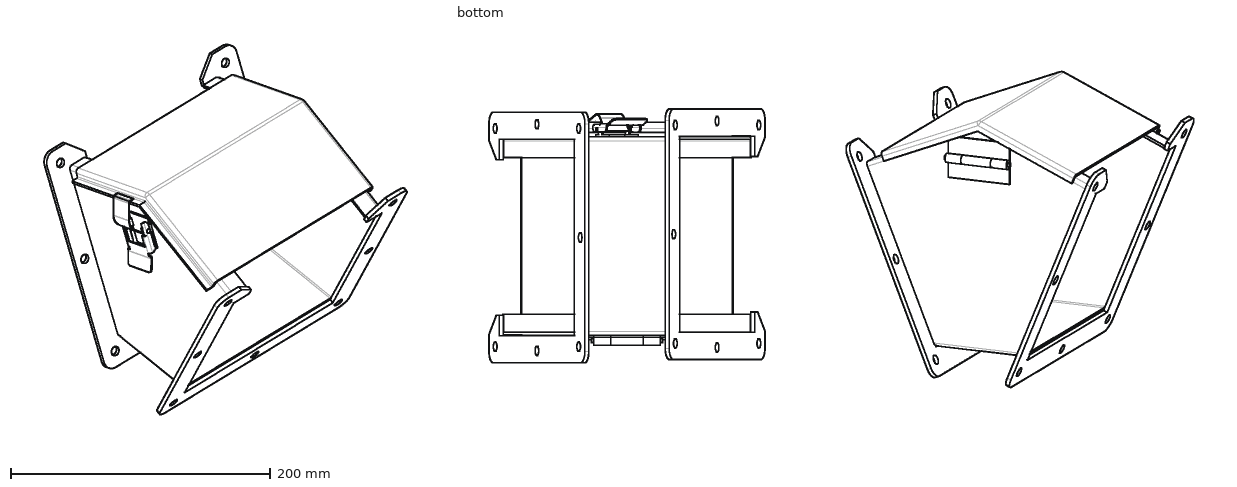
import cadquery as cq
import math

TILT = 22.5
SIN = math.sin(math.radians(TILT))
COS = math.cos(math.radians(TILT))

SHEET = 2.0
BEND = 1.0

FLANGE_REACH = 106.5
FLANGE_BASE_Z = -103.0
FLANGE_SIZE = 193.3
FLANGE_THICK = 3.5
FLANGE_SHIFT = 1.3
FLANGE_CORNER = 9.0
FRAME_WIDTH = 21.0
TAB_INNER = 59.8
TAB_CHAMFER = 15.0
BOLT_DIAMETER = 7.2
CORNER_BOLT_INSET = 12.5
MIDDLE_BOLT_INSET = 9.4

HOUSING_HALF_WIDTH = 76.5
HOUSING_BASE_Z = -81.7
HOUSING_RIDGE_Z = 98.8
ACCESS_HALF_WIDTH = 60.2

LID_TOP_Z = 103.2
LID_RIDGE_RADIUS = 4.0
LID_RIDGE_Z = LID_TOP_Z + LID_RIDGE_RADIUS * (1 / COS - 1)
LID_LENGTH = 88.8
LID_BACK_Y = 80.0
LID_FRONT_Y = -82.0
LIP_Y = -87.7
LIP_DEPTH = 9.2
BACK_SKIRT_DEPTH = 7.5

HINGE_WIDTH = 51.5
MIDDLE_KNUCKLE_WIDTH = 25.0
KNUCKLE_DIAMETER = 7.2
HINGE_PIN_DIAMETER = 3.2
HINGE_PIN_LENGTH = 55.0
HINGE_Y = 80.7
HINGE_Z = 71.7
LEAF_TOP_Z = 88.3
LEAF_BOTTOM_Z = 55.3

LATCH_SLOPE = 25.1
LATCH_WIDTH = 29.2
LATCH_SHEET = 1.0
STRAP_SHEET = 0.6
STRAP_WIDTH = 20.0
STRAP_ROOT_Y = -83.9
STRAP_LIP_Y = -88.5
STRAP_APEX = (-95.4, 26.6)
STRAP_END = (-81.1, 40.9)
STRAP_APEX_RADIUS = 8.7
STRAP_LIP_RADIUS = 1.7
STRAP_LIP_GAP = 0.2
LEVER_Y = -86.5
LEVER_TOP_DEPTH = 27.0
EAR_END_DEPTH = 53.9
TIP_START_DEPTH = 57.5
TIP_END = (-90.5, 68.5)
TIP_CORNER = 3.2
LEVER_BEND = 1.0
WINDOW_WIDTH = 20.9
WINDOW_END_DEPTH = 48.3
LEVER_LIFT = 3.6
EAR_ROUND = 3.5
EAR_BEND = 1.5
NECK_END_DEPTH = 56.0
PIVOT_DIAMETER = 3.5
PIVOT_LENGTH = 29.8
OPEN_TOP_DEPTH = 38.3
PIVOT_DEPTH = 35.3
PIVOT_Y = -81.7
BASE_SHEET = 1.5
BASE_EAR_DEPTH = 6.4

THROUGH = 425.8


def slope_plane(distance):
    """Plane across the left roof slope: local x is Y, local y is depth below the lid face."""
    origin = (-distance * COS, 0, LID_RIDGE_Z - distance * SIN)
    return cq.Plane(origin=origin, xDir=(0, 1, 0), normal=(-COS, 0, -SIN))


def unit(start, end):
    """Unit direction between two points."""
    length = math.dist(start, end)
    return ((end[0] - start[0]) / length, (end[1] - start[1]) / length)


def bent_sheet(path, thickness, radii, width):
    """Sheet folded along a path, lying to the left of it; radii are the inside bend radii."""
    directions = [unit(a, b) for a, b in zip(path, path[1:])]
    before = [directions[0]] + directions
    after = directions + [directions[-1]]
    offset_path = []
    turns = []
    for point, d0, d1 in zip(path, before, after):
        miter = thickness / (1 + d0[0] * d1[0] + d0[1] * d1[1])
        offset_x = point[0] - miter * (d0[1] + d1[1])
        offset_y = point[1] + miter * (d0[0] + d1[0])
        offset_path.append((offset_x, offset_y))
        turns.append(d0[0] * d1[1] - d0[1] * d1[0])
    outline = cq.Workplane().polyline(path + offset_path[::-1]).close()
    sheet = outline.extrude(width / 2, both=True)
    for index, radius in enumerate(radii, start=1):
        left_is_inside = turns[index] > 0
        inside = offset_path[index] if left_is_inside else path[index]
        outside = path[index] if left_is_inside else offset_path[index]
        for corner, corner_radius in ((inside, radius), (outside, radius + thickness)):
            edge = cq.selectors.NearestToPointSelector((*corner, 0))
            sheet = sheet.edges(edge).fillet(corner_radius)
    return sheet


def on_slope(body, distance):
    """Move a body from (Y, depth, slope) coordinates onto the left roof slope."""
    return cq.Workplane(body.val().moved(cq.Location(slope_plane(distance))))


def slope_box(y_range, depth_range, slope_range):
    """Box in (Y, depth, slope) coordinates, with slope measured from the middle of the latch."""
    ranges = (y_range, depth_range, slope_range)
    sizes = [end - start for start, end in ranges]
    corner = tuple(start for start, end in ranges)
    return cq.Workplane().box(*sizes, centered=False).translate(corner)


def make_flange():
    base_x = FLANGE_REACH - FLANGE_SIZE * SIN
    half = FLANGE_SIZE / 2
    opening_half = half - FRAME_WIDTH
    opening_top = FLANGE_SIZE - FRAME_WIDTH
    plane = cq.Plane(
        origin=(-base_x, FLANGE_SHIFT, FLANGE_BASE_Z), xDir=(0, 1, 0), normal=(COS, 0, SIN)
    )
    flange = (
        cq.Workplane()
        .rect(FLANGE_SIZE, FLANGE_SIZE)
        .extrude(FLANGE_THICK)
        .edges("|Z")
        .fillet(FLANGE_CORNER)
        .translate((0, half, 0))
    )
    right_edge = [
        (opening_half, FRAME_WIDTH),
        (opening_half, opening_top),
        (TAB_INNER, opening_top),
        (TAB_INNER, FLANGE_SIZE - TAB_CHAMFER),
        (TAB_INNER + TAB_CHAMFER, FLANGE_SIZE),
    ]
    left_edge = [(-x, y) for x, y in reversed(right_edge)]
    opening = cq.Workplane().polyline(right_edge + left_edge).close().extrude(FLANGE_THICK)
    flange = flange.cut(opening)
    corner = half - CORNER_BOLT_INSET
    side = half - MIDDLE_BOLT_INSET
    bolts = [(0, MIDDLE_BOLT_INSET)]
    for sign in (-1, 1):
        bolts += [
            (sign * corner, CORNER_BOLT_INSET),
            (sign * corner, FLANGE_SIZE - CORNER_BOLT_INSET),
            (sign * side, half),
        ]
    holes = cq.Workplane().pushPoints(bolts).circle(BOLT_DIAMETER / 2).extrude(FLANGE_THICK)
    return cq.Workplane(flange.cut(holes).val().moved(cq.Location(plane)))


def gabled_prism(half_width, base_z, ridge_z, radius):
    """Wide five-sided prism under the roof, rounded along its base and roof edges."""
    reach = THROUGH / 2
    eaves_z = ridge_z - reach * SIN / COS
    outline = [(-reach, base_z), (reach, base_z), (reach, eaves_z), (0, ridge_z), (-reach, eaves_z)]
    prism = cq.Workplane("XZ").polyline(outline).close().extrude(half_width, both=True)
    return prism.faces("|Y").edges("not |Z").fillet(radius)


def make_housing():
    outer = gabled_prism(HOUSING_HALF_WIDTH, HOUSING_BASE_Z, HOUSING_RIDGE_Z, BEND + SHEET)
    inner = gabled_prism(
        HOUSING_HALF_WIDTH - SHEET, HOUSING_BASE_Z + SHEET, HOUSING_RIDGE_Z - SHEET / COS, BEND
    )
    access = cq.Workplane("XY").box(THROUGH, 2 * ACCESS_HALF_WIDTH, THROUGH, centered=(True, True, False))
    base_x = FLANGE_REACH - FLANGE_SIZE * SIN - FLANGE_THICK / COS
    rise = THROUGH / 2
    flare = rise * SIN / COS
    between_flanges = (
        cq.Workplane("XZ")
        .polyline([
            (-base_x, FLANGE_BASE_Z),
            (base_x, FLANGE_BASE_Z),
            (base_x + flare, FLANGE_BASE_Z + rise),
            (-base_x - flare, FLANGE_BASE_Z + rise),
        ])
        .close()
        .extrude(THROUGH, both=True)
    )
    return outer.cut(inner).cut(access).intersect(between_flanges)


def make_lid():
    path = [
        (LIP_Y, LIP_DEPTH - SHEET),
        (LID_FRONT_Y, LIP_DEPTH - SHEET),
        (LID_FRONT_Y, 0),
        (LID_BACK_Y, 0),
        (LID_BACK_Y, BACK_SKIRT_DEPTH),
    ]
    overrun = 2 * LIP_DEPTH
    slab = bent_sheet(path, SHEET, [BEND, BEND, BEND], LID_LENGTH + overrun)
    slab = on_slope(slab, (LID_LENGTH - overrun) / 2)
    left_side = cq.Workplane().box(THROUGH, THROUGH, THROUGH).translate((-THROUGH / 2, 0, 0))
    half = slab.intersect(left_side)
    lid = half.union(half.mirror("YZ"))
    middle_y = (LID_FRONT_Y + LID_BACK_Y) / 2
    ridge = cq.selectors.NearestToPointSelector((0, middle_y, LID_RIDGE_Z))
    return lid.edges(ridge).fillet(LID_RIDGE_RADIUS)


def hinge_cylinder(diameter, start, end):
    """Cylinder on the hinge axis between two X positions."""
    section = cq.Workplane("YZ", origin=(start, HINGE_Y, HINGE_Z)).circle(diameter / 2)
    return section.extrude(end - start)


def make_leaf(z_start, z_end, knuckles):
    """Flat leaf against the housing wall, with a bored knuckle over each X range."""
    thickness = LID_BACK_Y - SHEET - HOUSING_HALF_WIDTH
    plate = cq.Workplane("XY").box(
        HINGE_WIDTH, thickness, z_end - z_start, centered=(True, False, False)
    )
    leaf = plate.translate((0, HOUSING_HALF_WIDTH, z_start))
    half = HINGE_WIDTH / 2
    leaf = leaf.cut(hinge_cylinder(KNUCKLE_DIAMETER, -half, half))
    for start, end in knuckles:
        leaf = leaf.union(hinge_cylinder(KNUCKLE_DIAMETER, start, end))
    return leaf.cut(hinge_cylinder(HINGE_PIN_DIAMETER, -half, half))


def make_strap():
    root_depth = LIP_DEPTH - SHEET - STRAP_LIP_GAP - STRAP_SHEET
    path = [STRAP_END, STRAP_APEX, (STRAP_LIP_Y, root_depth), (STRAP_ROOT_Y, root_depth)]
    strap = bent_sheet(path, STRAP_SHEET, [STRAP_APEX_RADIUS, STRAP_LIP_RADIUS], STRAP_WIDTH)
    return on_slope(strap, LATCH_SLOPE)


def make_pivot():
    pivot = cq.Workplane().center(PIVOT_Y, PIVOT_DEPTH).circle(PIVOT_DIAMETER / 2)
    return pivot.extrude(PIVOT_LENGTH / 2, both=True)


def make_lever():
    half = LATCH_WIDTH / 2
    neck_half = half - LATCH_SHEET - EAR_BEND
    ear_y = -HOUSING_HALF_WIDTH - LEVER_LIFT
    inner_y = LEVER_Y + LATCH_SHEET

    lever = slope_box((LEVER_Y, ear_y), (LEVER_TOP_DEPTH, EAR_END_DEPTH), (-half, half))
    lever = lever.edges("<X and |Y").fillet(EAR_BEND + LATCH_SHEET)
    hollow = slope_box((inner_y, 0), (0, THROUGH), (-half + LATCH_SHEET, half - LATCH_SHEET))
    lever = lever.cut(hollow.edges("<X and |Y").fillet(EAR_BEND))
    lever = lever.edges(">X and |Z").fillet(EAR_ROUND)

    neck = slope_box((LEVER_Y, inner_y), (WINDOW_END_DEPTH, NECK_END_DEPTH), (-neck_half, neck_half))
    tip = bent_sheet(
        [TIP_END, (LEVER_Y, TIP_START_DEPTH), (LEVER_Y, NECK_END_DEPTH)],
        LATCH_SHEET,
        [LEVER_BEND],
        LATCH_WIDTH,
    )
    for side in (-half, half):
        corner = (TIP_END[0] + LATCH_SHEET / 2, TIP_END[1], side)
        tip = tip.edges(cq.selectors.NearestToPointSelector(corner)).fillet(TIP_CORNER)
    lever = lever.union(neck).union(tip)

    window_half = WINDOW_WIDTH / 2
    ear_gap_half = half - LATCH_SHEET
    for opening_half, end_depth in ((window_half, WINDOW_END_DEPTH), (ear_gap_half, OPEN_TOP_DEPTH)):
        opening = slope_box((LEVER_Y, ear_y), (0, end_depth), (-opening_half, opening_half))
        lever = lever.cut(opening)
    return on_slope(lever.cut(make_pivot()), LATCH_SLOPE)


def make_base():
    """Plate on the housing wall with two ears, each carrying a pivot stub for the lever."""
    half = LATCH_WIDTH / 2 - LATCH_SHEET - EAR_BEND
    inner_half = half - BASE_SHEET
    wall = -HOUSING_HALF_WIDTH
    plate_face = wall - BASE_SHEET
    plate = slope_box((plate_face, wall), (LEVER_TOP_DEPTH, EAR_END_DEPTH), (-half, half))
    ear_y = (LEVER_Y + LATCH_SHEET, wall)
    ear_depths = (PIVOT_DEPTH - BASE_EAR_DEPTH / 2, PIVOT_DEPTH + BASE_EAR_DEPTH / 2)
    ears = slope_box(ear_y, ear_depths, (-half, half)).union(make_pivot())
    gap = slope_box((-THROUGH, plate_face), (0, THROUGH), (-inner_half, inner_half))
    return on_slope(plate.union(ears.cut(gap)), LATCH_SLOPE)


flanges = []
for turn in (0, 180):
    flanges.append(make_flange().rotate((0, 0, 0), (0, 0, 1), turn))

housing = make_housing()
lid = make_lid()

hinge_half = HINGE_WIDTH / 2
knuckle_half = MIDDLE_KNUCKLE_WIDTH / 2
outer_knuckles = [(-hinge_half, -knuckle_half), (knuckle_half, hinge_half)]
lid_leaf = make_leaf(HINGE_Z, LEAF_TOP_Z, [(-knuckle_half, knuckle_half)])
housing_leaf = make_leaf(LEAF_BOTTOM_Z, HINGE_Z, outer_knuckles)
hinge_pin = hinge_cylinder(HINGE_PIN_DIAMETER, -HINGE_PIN_LENGTH / 2, HINGE_PIN_LENGTH / 2)

strap = make_strap()
lever = make_lever()
latch_base = make_base()

result = cq.Compound.makeCompound([
    *(flange.val() for flange in flanges),
    housing.val(),
    lid.val(),
    lid_leaf.val(),
    housing_leaf.val(),
    hinge_pin.val(),
    strap.val(),
    lever.val(),
    latch_base.val(),
])